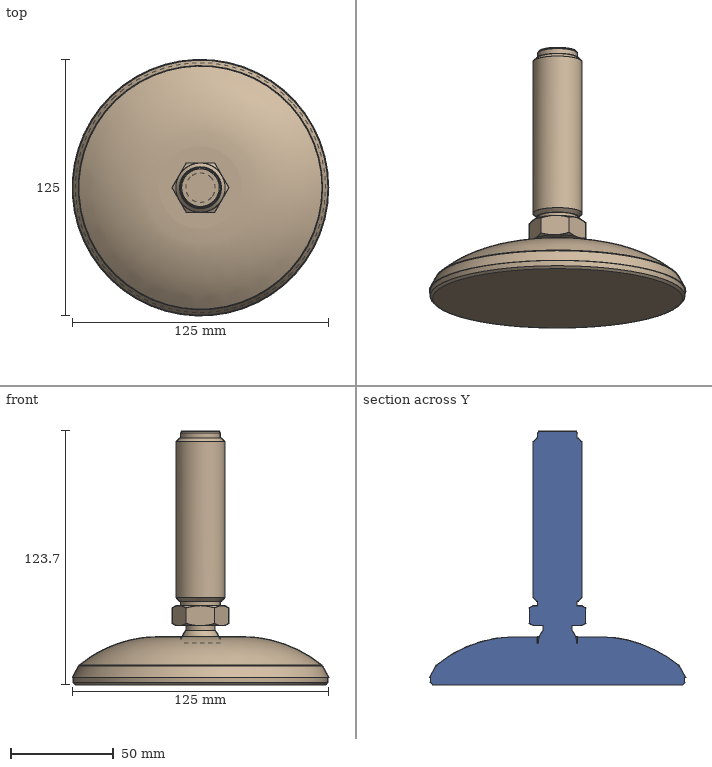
import cadquery as cq
import math

pad_diameter = 125.0
foot_diameter = 124.2
foot_chamfer = 1.2
foot_height = 3.8
rim_top_diameter = 119.0
rim_top_height = 9.4
dome_diameter = 118.4
dome_radius = 62.0
flat_diameter = 40.0
pad_height = 23.69

stem_length = 100.0
thread_diameter = 24.0
thread_start = 18.9
thread_end = 94.9
thread_chamfer = 1.8
relief_diameter = 19.5
tip_diameter = 18.32
tip_chamfer_height = 0.8
neck_diameter = 14.3
ball_diameter = 19.0
ball_top = 3.0
socket_diameter = 19.5

hex_flats = 24.0
hex_start = 5.3
hex_height = 9.7
hex_face_diameter = 24.0
hex_bevel_angle = 30.0

ball_center_depth = math.sqrt((ball_diameter / 2) ** 2 - (neck_diameter / 2) ** 2) - ball_top


def revolve_about_z(half_profile):
    """Revolve a half profile, drawn as (radius, height), about the Z axis."""
    return half_profile.close().revolve(360, (0, 0, 0), (0, 1, 0))


def make_pad():
    flat_radius = flat_diameter / 2
    dome_edge_radius = dome_diameter / 2
    dome_center_height = pad_height - dome_radius
    edge_angle = math.asin((dome_edge_radius - flat_radius) / dome_radius)
    dome_edge_height = dome_center_height + dome_radius * math.cos(edge_angle)
    dome_middle = (
        flat_radius + dome_radius * math.sin(edge_angle / 2),
        dome_center_height + dome_radius * math.cos(edge_angle / 2),
    )
    foot_radius = foot_diameter / 2
    socket_radius = socket_diameter / 2
    socket_floor = pad_height - ball_center_depth
    return revolve_about_z(
        cq.Workplane("XZ")
        .lineTo(foot_radius - foot_chamfer, 0)
        .lineTo(foot_radius, foot_chamfer)
        .lineTo(foot_radius, foot_height)
        .lineTo(pad_diameter / 2, foot_height)
        .lineTo(rim_top_diameter / 2, rim_top_height)
        .lineTo(dome_edge_radius, rim_top_height)
        .lineTo(dome_edge_radius, dome_edge_height)
        .threePointArc(dome_middle, (flat_radius, pad_height))
        .lineTo(socket_radius, pad_height)
        .lineTo(socket_radius, socket_floor)
        .lineTo(0, socket_floor)
    )


def make_stem():
    neck_radius = neck_diameter / 2
    relief_radius = relief_diameter / 2
    thread_radius = thread_diameter / 2
    ball_radius = ball_diameter / 2
    ball_top_angle = math.acos(neck_radius / ball_radius)
    ball_middle = (
        ball_radius * math.cos(ball_top_angle / 2),
        ball_radius * math.sin(ball_top_angle / 2) - ball_center_depth,
    )
    hex_middle = hex_start + hex_height / 2
    stem = revolve_about_z(
        cq.Workplane("XZ")
        .moveTo(0, -ball_center_depth)
        .lineTo(ball_radius, -ball_center_depth)
        .threePointArc(ball_middle, (neck_radius, ball_top))
        .lineTo(neck_radius, hex_middle)
        .lineTo(relief_radius, hex_middle)
        .lineTo(relief_radius, thread_start - thread_chamfer)
        .lineTo(thread_radius - thread_chamfer, thread_start - thread_chamfer)
        .lineTo(thread_radius, thread_start)
        .lineTo(thread_radius, thread_end)
        .lineTo(thread_radius - thread_chamfer, thread_end + thread_chamfer)
        .lineTo(relief_radius, thread_end + thread_chamfer)
        .lineTo(relief_radius, stem_length - tip_chamfer_height)
        .lineTo(tip_diameter / 2, stem_length)
        .lineTo(0, stem_length)
    )
    return stem.translate((0, 0, pad_height))


def make_hexagon():
    corner_radius = hex_flats / math.sqrt(3)
    face_radius = hex_face_diameter / 2
    bevel_height = (corner_radius - face_radius) * math.tan(math.radians(hex_bevel_angle))
    prism = cq.Workplane("XY").polygon(6, 2 * corner_radius).extrude(hex_height)
    bevel_envelope = revolve_about_z(
        cq.Workplane("XZ")
        .lineTo(face_radius, 0)
        .lineTo(corner_radius, bevel_height)
        .lineTo(corner_radius, hex_height - bevel_height)
        .lineTo(face_radius, hex_height)
        .lineTo(0, hex_height)
    )
    return prism.intersect(bevel_envelope).translate((0, 0, pad_height + hex_start))


result = make_pad().union(make_stem()).union(make_hexagon())